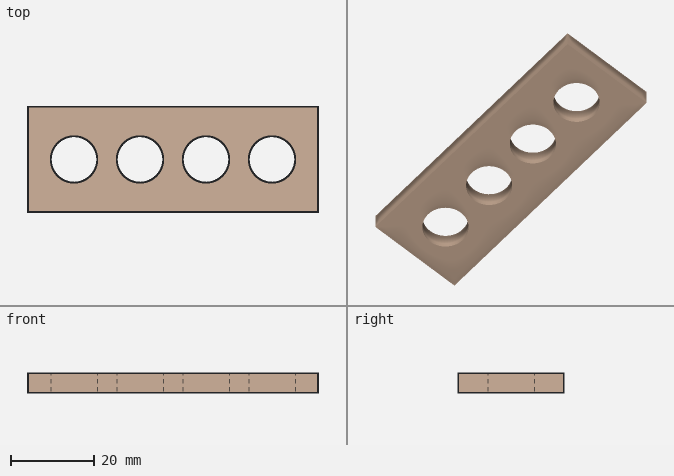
import cadquery as cq

length = 69.85
width = 25.4
thickness = 4.75

hole_count = 4
hole_diameter = 11.11
hole_pitch = 15.875


def make_plate():
    """Flat rectangular bar centred on the origin in X and Y, resting on Z = 0."""
    return cq.Workplane("XY").box(length, width, thickness, centered=(True, True, False))


def drill_holes(plate):
    """Drill the evenly spaced row of holes through the full thickness."""
    return (
        plate.faces(">Z")
        .workplane()
        .rarray(hole_pitch, width, hole_count, 1)
        .hole(hole_diameter)
    )


result = drill_holes(make_plate())